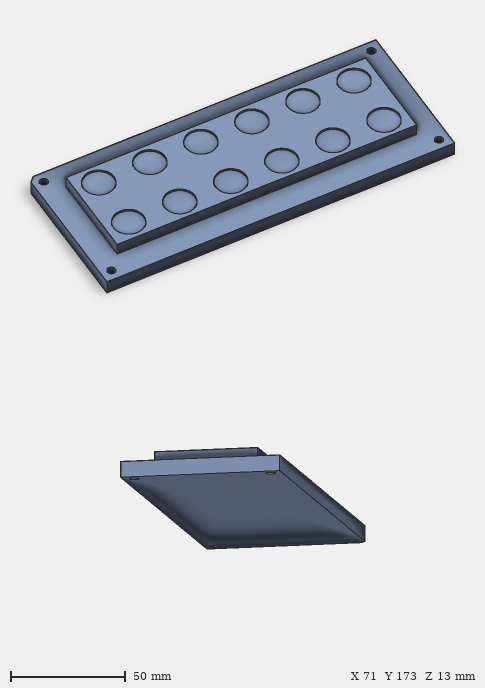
import cadquery as cq

plate_width = 71.0
plate_length = 173.0
plate_thickness = 7.0
corner_chamfer = 2.5

platform_width = 46.0
platform_length = 149.0
platform_height = 6.0

mount_hole_diameter = 4.0
mount_hole_inset = 5.0

recess_diameter = 15.0
recess_depth = 1.0
recess_columns = 2
recess_rows = 6
recess_column_pitch = 27.0
recess_row_pitch = 25.4

total_height = plate_thickness + platform_height


def make_plate():
    """Rectangular plate with one chamfered corner at -X, -Y."""
    plate = cq.Workplane("XY").box(
        plate_width, plate_length, plate_thickness, centered=(True, True, False)
    )
    return plate.edges("|Z and <X and <Y").chamfer(corner_chamfer)


def make_platform():
    """Rectangular block standing on the plate."""
    return (
        cq.Workplane("XY")
        .workplane(offset=plate_thickness)
        .rect(platform_width, platform_length)
        .extrude(platform_height)
    )


def make_mount_holes():
    """Cutters for the four corner through holes."""
    spacing_x = plate_width - 2 * mount_hole_inset
    spacing_y = plate_length - 2 * mount_hole_inset
    return (
        cq.Workplane("XY")
        .rarray(spacing_x, spacing_y, 2, 2)
        .circle(mount_hole_diameter / 2)
        .extrude(plate_thickness)
    )


def make_recesses():
    """Cutters for the round recesses, reaching down from the platform top."""
    return (
        cq.Workplane("XY")
        .workplane(offset=total_height)
        .rarray(recess_column_pitch, recess_row_pitch, recess_columns, recess_rows)
        .circle(recess_diameter / 2)
        .extrude(-recess_depth)
    )


body = make_plate().union(make_platform())
result = body.cut(make_mount_holes()).cut(make_recesses())